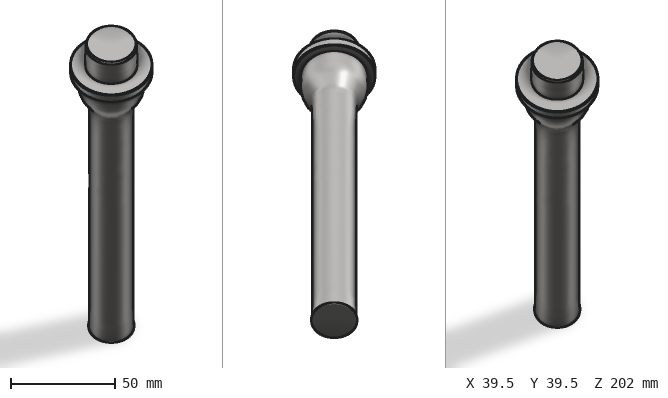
import cadquery as cq

total_height = 202.0

tube_diameter = 21.5
waist_diameter = 21.2
foot_lip_diameter = 22.2
collar_diameter = 32.0
plug_diameter = 25.0
plug_tip_diameter = 24.6

foot_lip_rounding = 0.8
foot_top = 11.1
waist_bottom = 14.1
waist_top = 94.1
neck_bottom = 152.1
neck_top = 157.5
collar_bottom = 173.1
collar_top = 181.8
plug_shoulder_bottom = 193.7
plug_shoulder_top = 196.1
tip_chamfer_height = 1.5
tip_chamfer_width = 0.6

bell_reversal = 0.44

flange_diameter = 39.5
flange_thickness = 5.3
flange_chamfer = 0.5


def make_stem():
    """Revolve the stepped, solid stem from its half profile."""
    tube_radius = tube_diameter / 2
    waist_radius = waist_diameter / 2
    lip_radius = foot_lip_diameter / 2
    plug_radius = plug_diameter / 2
    tip_radius = plug_tip_diameter / 2
    flare_radius = lip_radius - tube_radius
    collar_radius = collar_diameter / 2
    reversal_radius = tube_radius + bell_reversal * (collar_radius - tube_radius)
    reversal_height = neck_top + bell_reversal * (collar_bottom - neck_top)
    profile = (
        cq.Workplane("XZ")
        .lineTo(lip_radius - foot_lip_rounding, 0)
        .tangentArcPoint((lip_radius, foot_lip_rounding), relative=False)
        .radiusArc((tube_radius, foot_lip_rounding + flare_radius), flare_radius)
        .lineTo(tube_radius, foot_top)
        .lineTo(waist_radius, waist_bottom)
        .lineTo(waist_radius, waist_top)
        .lineTo(tube_radius, neck_bottom)
        .lineTo(tube_radius, neck_top)
        .spline(
            [(reversal_radius, reversal_height), (collar_radius, collar_bottom)],
            tangents=[(0, 1), (0, 1)],
            includeCurrent=True,
        )
        .lineTo(collar_radius, collar_top)
        .lineTo(plug_radius, collar_top)
        .lineTo(plug_radius, plug_shoulder_bottom)
        .lineTo(tip_radius, plug_shoulder_top)
        .lineTo(tip_radius, total_height - tip_chamfer_height)
        .lineTo(tip_radius - tip_chamfer_width, total_height)
        .lineTo(0, total_height)
        .close()
    )
    return profile.revolve(360, (0, 0, 0), (0, 1, 0))


def make_flange():
    """Ring around the plug, resting on the collar."""
    disc = (
        cq.Workplane("XY")
        .workplane(offset=collar_top)
        .circle(flange_diameter / 2)
        .extrude(flange_thickness)
    )
    rim = disc.faces(">Z or <Z").edges().chamfer(flange_chamfer)
    bore = cq.Workplane("XY").workplane(offset=collar_top).circle(plug_diameter / 2).extrude(flange_thickness)
    return rim.cut(bore)


stem = make_stem()
flange = make_flange()

result = cq.Compound.makeCompound([stem.val(), flange.val()])